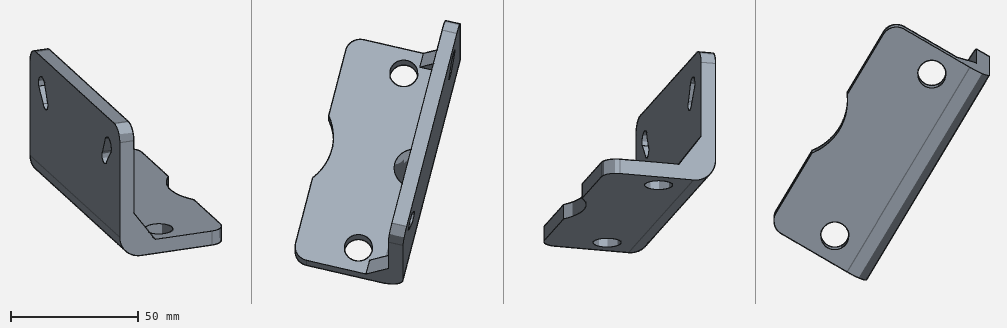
import cadquery as cq
import math

length = 95.0
depth = 45.0
height = 55.0

thickness = 6.0
corner_radius = thickness
outer_bend_radius = 9.0
inner_bend_radius = outer_bend_radius - thickness

gusset_reach = 9.0
gusset_rise = 12.35
gusset_width = thickness
rib_half_width = 8.3

hole_diameter = 11.0
hole_offset = 37.5
hole_setback = 20.5
notch_half_width = 13.5
notch_depth = 4.6

slot_top_offset = 35.0
slot_top_height = 43.1
slot_top_radius = 3.5
slot_bottom_offset = 31.2
slot_bottom_height = 37.0
slot_bottom_radius = 2.6


def make_angle():
    """L-shaped bracket, centred on X, with its outer wall face at Y = 0."""
    angle = (
        cq.Workplane("YZ")
        .polyline([
            (0, 0),
            (depth, 0),
            (depth, thickness),
            (thickness, thickness),
            (thickness, height),
            (0, height),
        ])
        .close()
        .extrude(length / 2, both=True)
    )
    angle = angle.edges("|X and <Y and <Z").fillet(outer_bend_radius)
    inner_corner = cq.selectors.NearestToPointSelector((0, thickness, thickness))
    angle = angle.edges(inner_corner).fillet(inner_bend_radius)
    angle = angle.edges("|Y and >Z").fillet(corner_radius)
    return angle.edges("|Z and >Y").fillet(corner_radius)


def make_end_gusset(start_x):
    """Triangular gusset occupying one end of the inside corner."""
    return (
        cq.Workplane("YZ", origin=(start_x, 0, 0))
        .moveTo(thickness, thickness)
        .lineTo(thickness + gusset_reach, thickness)
        .lineTo(thickness, thickness + gusset_rise)
        .close()
        .extrude(gusset_width)
    )


def make_center_rib():
    """Rounded rib with a straight sloping crest, limited to the inside corner."""
    slope_angle = math.atan2(gusset_rise, gusset_reach)
    slope_length = math.hypot(gusset_reach, gusset_rise)
    crest_distance = gusset_reach * math.sin(slope_angle)
    corner = cq.Vector(0, thickness, thickness)
    slope = cq.Vector(0, -math.cos(slope_angle), math.sin(slope_angle))
    rib_plane = cq.Plane(origin=corner, xDir=(1, 0, 0), normal=slope)
    rounded_bar = (
        cq.Workplane(rib_plane)
        .workplane(offset=-slope_length)
        .ellipse(rib_half_width, crest_distance)
        .extrude(2 * slope_length)
    )
    inside_corner = cq.Workplane(origin=corner).box(
        length, gusset_reach, gusset_rise, centered=(True, False, False)
    )
    return rounded_bar.intersect(inside_corner)


def make_tapered_slot(side):
    """Cutter for a slot bounded by two arcs and their common tangents."""
    top = cq.Vector(side * slot_top_offset, slot_top_height)
    bottom = cq.Vector(side * slot_bottom_offset, slot_bottom_height)
    axis = top - bottom
    axis_angle = math.atan2(axis.y, axis.x)
    tangent_angle = math.acos((slot_top_radius - slot_bottom_radius) / axis.Length)

    def point_on(center, radius, angle):
        return (center.x + radius * math.cos(angle), center.y + radius * math.sin(angle))

    first = axis_angle + tangent_angle
    second = axis_angle - tangent_angle
    return (
        cq.Workplane("XZ")
        .moveTo(*point_on(top, slot_top_radius, first))
        .threePointArc(
            point_on(top, slot_top_radius, axis_angle),
            point_on(top, slot_top_radius, second),
        )
        .lineTo(*point_on(bottom, slot_bottom_radius, second))
        .threePointArc(
            point_on(bottom, slot_bottom_radius, axis_angle + math.pi),
            point_on(bottom, slot_bottom_radius, first),
        )
        .close()
        .extrude(-thickness)
    )


def make_base_cuts():
    """Cutters for the two mounting holes and the shallow arc in the base edge."""
    holes = (
        cq.Workplane("XY")
        .pushPoints([(-hole_offset, hole_setback), (hole_offset, hole_setback)])
        .circle(hole_diameter / 2)
        .extrude(thickness)
    )
    notch_radius = (notch_half_width**2 + notch_depth**2) / (2 * notch_depth)
    notch = (
        cq.Workplane("XY")
        .center(0, depth - notch_depth + notch_radius)
        .circle(notch_radius)
        .extrude(thickness)
    )
    return holes.union(notch)


result = make_angle().union(make_center_rib())
for gusset_start in (-length / 2, length / 2 - gusset_width):
    result = result.union(make_end_gusset(gusset_start))
for slot_side in (-1, 1):
    result = result.cut(make_tapered_slot(slot_side))
result = result.cut(make_base_cuts())